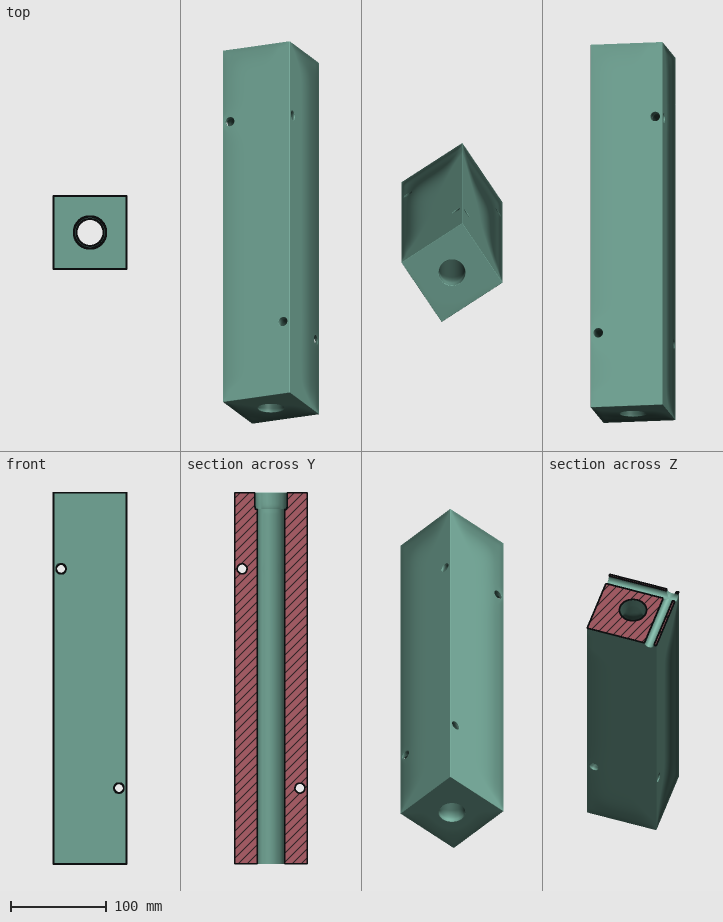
import cadquery as cq

SIDE = 76.2
HEIGHT = 387.35

EDGE_BREAK = 0.254

BORE_DIAMETER = 27.8
PORT_DIAMETER = 33.8
PORT_DEPTH = 17.0
PORT_TAPER = 1 / 16

CROSS_DIAMETER = 9.9
CROSS_EDGE_INSET = 7.9375
CROSS_SPACING = 228.6

PORT_FLOOR_DIAMETER = PORT_DIAMETER - PORT_TAPER * PORT_DEPTH
PORT_FLOOR_Z = HEIGHT - PORT_DEPTH
CROSS_OFFSET = SIDE / 2 - CROSS_EDGE_INSET
LOWER_HOLE_Z = (HEIGHT - CROSS_SPACING) / 2
UPPER_HOLE_Z = LOWER_HOLE_Z + CROSS_SPACING


def make_block():
    """Square block standing on Z = 0, centred on the Z axis."""
    return cq.Workplane("XY").box(SIDE, SIDE, HEIGHT, centered=(True, True, False))


def make_bore():
    """Through bore along Z with its tapered port at the top face."""
    profile = [
        (0, 0),
        (BORE_DIAMETER / 2, 0),
        (BORE_DIAMETER / 2, PORT_FLOOR_Z),
        (PORT_FLOOR_DIAMETER / 2, PORT_FLOOR_Z),
        (PORT_DIAMETER / 2, HEIGHT),
        (0, HEIGHT),
    ]
    return cq.Workplane("XZ").polyline(profile).close().revolve()


def make_cross_holes(plane, upper_offset):
    """Pair of through holes normal to a side face, mirrored across the block's centre."""
    centres = [(upper_offset, UPPER_HOLE_Z), (-upper_offset, LOWER_HOLE_Z)]
    return (
        cq.Workplane(plane)
        .pushPoints(centres)
        .circle(CROSS_DIAMETER / 2)
        .extrude(SIDE / 2, both=True)
    )


def break_edges(part):
    """Chamfer every edge of the six outer faces, hole rims included."""
    outer_faces = "<X or >X or <Y or >Y or <Z or >Z"
    return part.faces(outer_faces).edges().chamfer(EDGE_BREAK)


drilled_block = (
    make_block()
    .cut(make_bore())
    .cut(make_cross_holes("XZ", -CROSS_OFFSET))
    .cut(make_cross_holes("YZ", CROSS_OFFSET))
)
result = break_edges(drilled_block)